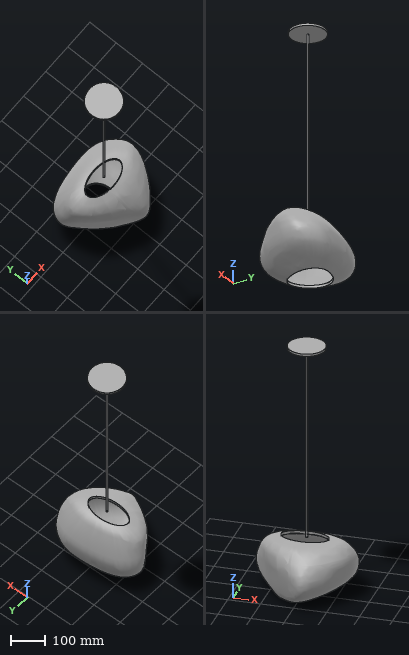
import cadquery as cq
import math


TOTAL_HEIGHT = 797.33

CANOPY_DIAMETER = 115.0
CANOPY_THICKNESS = 8.0

CABLE_DIAMETER = 6.0
CABLE_END_BELOW_RIM = 2.0

SHADE_HEIGHT = 179.0
WALL_THICKNESS = 6.0
RIM_DEPTH = 9.0
POINTS_PER_QUADRANT = 5

SHADE_LEVELS = [
    (0.0, -88.0, 33.0, -79.0, 61.0, 0.3),
    (8.0, -107.0, 53.0, -97.0, 74.0, 0.5),
    (20.0, -128.0, 82.0, -118.0, 88.0, 0.8),
    (50.0, -155.5, 131.0, -142.0, 110.0, 1.0),
    (85.0, -160.0, 147.7, -146.8, 113.5, 1.0),
    (125.0, -147.5, 147.0, -125.0, 95.5, 0.65),
    (155.0, -130.0, 131.0, -92.0, 72.5, 0.35),
    (172.0, -101.0, 106.0, -62.0, 51.0, 0.1),
    (SHADE_HEIGHT, -77.0, 68.0, -39.5, 35.0, 0.0),
]

LEFT_SHIFT = 40.0
RIGHT_SHIFT = 48.0
FRONT_SHIFT = 29.0
BACK_SHIFT = 58.0

OVAL_EXPONENT = 2.0
BACK_RIGHT_EXPONENT = 1.9
BACK_LEFT_EXPONENT = 2.6
FRONT_LEFT_EXPONENT = 1.26
FRONT_RIGHT_EXPONENT = 1.5


def quadrant(start, end, center, exponent):
    """Superellipse points from start up to, but not including, end."""
    points = []
    for i in range(POINTS_PER_QUADRANT):
        angle = math.pi / 2 * i / POINTS_PER_QUADRANT
        to_start = math.cos(angle) ** (2 / exponent)
        to_end = math.sin(angle) ** (2 / exponent)
        x = center[0] + to_start * (start[0] - center[0]) + to_end * (end[0] - center[0])
        y = center[1] + to_start * (start[1] - center[1]) + to_end * (end[1] - center[1])
        points.append((x, y))
    return points


def shade_outline(level, inset=0):
    """Points of the closed outline at one level, moved inwards by inset."""
    _, left_x, right_x, front_y, back_y, triangularity = level
    middle_x = (left_x + right_x) / 2
    middle_y = (front_y + back_y) / 2
    right = (right_x - inset, middle_y + triangularity * RIGHT_SHIFT)
    back = (middle_x + triangularity * BACK_SHIFT, back_y - inset)
    left = (left_x + inset, middle_y + triangularity * LEFT_SHIFT)
    front = (middle_x + triangularity * FRONT_SHIFT, front_y + inset)

    def blended(exponent):
        return OVAL_EXPONENT + triangularity * (exponent - OVAL_EXPONENT)

    return (
        quadrant(right, back, (back[0], right[1]), blended(BACK_RIGHT_EXPONENT))
        + quadrant(back, left, (back[0], left[1]), blended(BACK_LEFT_EXPONENT))
        + quadrant(left, front, (front[0], left[1]), blended(FRONT_LEFT_EXPONENT))
        + quadrant(front, right, (front[0], right[1]), blended(FRONT_RIGHT_EXPONENT))
    )


def outline_wire(points, z):
    edge = cq.Edge.makeSpline([cq.Vector(x, y, z) for x, y in points], periodic=True)
    return cq.Wire.assembleEdges([edge])


def shade_blank():
    wires = [outline_wire(shade_outline(level), level[0]) for level in SHADE_LEVELS]
    return cq.Workplane(cq.Solid.makeLoft(wires))


def shade_cavity():
    """Inside space between the two rims; its end outlines match the openings."""
    squeeze = (SHADE_HEIGHT - 2 * RIM_DEPTH) / SHADE_HEIGHT
    wires = []
    for level in SHADE_LEVELS:
        at_opening = level in (SHADE_LEVELS[0], SHADE_LEVELS[-1])
        inset = 0 if at_opening else WALL_THICKNESS
        z = RIM_DEPTH + level[0] * squeeze
        wires.append(outline_wire(shade_outline(level, inset), z))
    return cq.Workplane(cq.Solid.makeLoft(wires))


def shade_opening(level, bottom_z):
    wire = outline_wire(shade_outline(level), bottom_z)
    return cq.Workplane(cq.Solid.extrudeLinear(wire, [], cq.Vector(0, 0, RIM_DEPTH)))


def make_shade():
    return (
        shade_blank()
        .cut(shade_cavity())
        .cut(shade_opening(SHADE_LEVELS[0], 0))
        .cut(shade_opening(SHADE_LEVELS[-1], SHADE_HEIGHT - RIM_DEPTH))
        .solids()
    )


def make_canopy():
    return (
        cq.Workplane("XY", origin=(0, 0, TOTAL_HEIGHT - CANOPY_THICKNESS))
        .circle(CANOPY_DIAMETER / 2)
        .extrude(CANOPY_THICKNESS)
    )


def make_cable():
    bottom_z = SHADE_HEIGHT - CABLE_END_BELOW_RIM
    length = TOTAL_HEIGHT - CANOPY_THICKNESS - bottom_z
    return (
        cq.Workplane("XY", origin=(0, 0, bottom_z))
        .circle(CABLE_DIAMETER / 2)
        .extrude(length)
    )


canopy = make_canopy()
cable = make_cable()
shade = make_shade()

result = cq.Compound.makeCompound([canopy.val(), cable.val(), shade.val()])